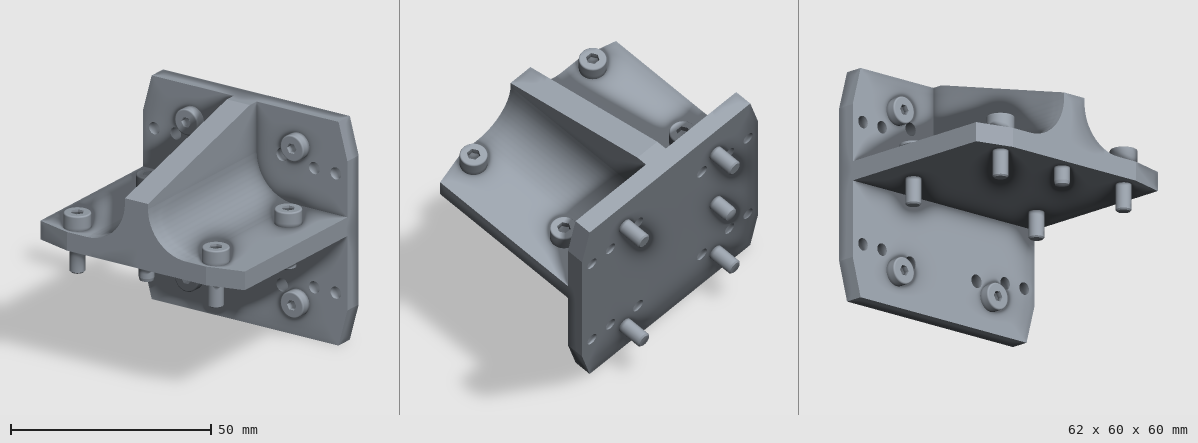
import cadquery as cq
import math

WIDTH = 62.0
PLATE_HEIGHT = 60.0
PLATE_THICKNESS = 5.0
SHELF_DEPTH = 48.0
SHELF_THICKNESS = 5.0
TAPER_ANGLE = math.radians(15.0)
CORNER_LONG_LEG = 10.0
CORNER_SHORT_LEG = CORNER_LONG_LEG * math.tan(TAPER_ANGLE)

RIB_WIDTH = 7.0
RIB_FILLET = 11.5
RIB_FLAT_DEPTH = 3.0
RIB_TOP = PLATE_HEIGHT / 2
RIB_FRONT_HEIGHT = RIB_TOP - (SHELF_DEPTH - RIB_FLAT_DEPTH) * math.tan(TAPER_ANGLE)

BOLT_SHORT_PITCH = 32.0
BOLT_LONG_PITCH = 42.0
SHELF_FIRST_BOLT_ROW = 11.5
SHELF_LAST_BOLT_ROW = SHELF_FIRST_BOLT_ROW + BOLT_SHORT_PITCH
SCREW_DIAMETER = 4.0
SCREW_PROTRUSION = 7.0
THREAD_ROOT_DIAMETER = 3.24
SCREW_TIP_CHAMFER = (SCREW_DIAMETER - THREAD_ROOT_DIAMETER) / 2
HEAD_DIAMETER = 7.0
SHELF_HEAD_HEIGHT = 4.0
PLATE_HEAD_HEIGHT = 2.8
HEAD_EDGE_RADIUS = 0.4
SHELF_SOCKET_ACROSS_FLATS = 3.0
PLATE_SOCKET_ACROSS_FLATS = 2.5
SOCKET_DEPTH = 1.5
SOCKET_CONE_ANGLE = math.radians(120.0)

PIN_DIAMETER = 4.0
PIN_TAPER_LENGTH = 0.85
PIN_DOME_HEIGHT = 0.4
SHELF_PIN_REACH = 4.9
PLATE_PIN_REACH = 6.0

SMALL_HOLE_DIAMETER = THREAD_ROOT_DIAMETER
SMALL_HOLE_X = (21.0, 27.5)
SMALL_HOLE_Z = 16.0
LARGE_HOLE_DIAMETER = 3.5
LARGE_HOLE_X = 11.25
LARGE_HOLE_Z = 17.5


def make_plate():
    """Upright plate with four steeply clipped corners."""
    half_width = WIDTH / 2
    half_height = PLATE_HEIGHT / 2
    top_x = half_width - CORNER_SHORT_LEG
    side_z = half_height - CORNER_LONG_LEG
    outline = [
        (top_x, half_height),
        (half_width, side_z),
        (half_width, -side_z),
        (top_x, -half_height),
        (-top_x, -half_height),
        (-half_width, -side_z),
        (-half_width, side_z),
        (-top_x, half_height),
    ]
    return cq.Workplane("XZ").polyline(outline).close().extrude(-PLATE_THICKNESS)


def make_shelf():
    """Horizontal shelf with two shallowly clipped front corners."""
    half_width = WIDTH / 2
    front_x = half_width - CORNER_LONG_LEG
    side_y = -SHELF_DEPTH + CORNER_SHORT_LEG
    outline = [
        (-half_width, 0),
        (-half_width, side_y),
        (-front_x, -SHELF_DEPTH),
        (front_x, -SHELF_DEPTH),
        (half_width, side_y),
        (half_width, 0),
    ]
    return cq.Workplane("XY").polyline(outline).close().extrude(SHELF_THICKNESS)


def make_rib():
    """Central rib flaring into the shelf, with a top that slopes down to the front."""
    half_rib = RIB_WIDTH / 2
    foot_x = half_rib + RIB_FILLET
    arc_top = SHELF_THICKNESS + RIB_FILLET
    arc_offset = RIB_FILLET * (1 - math.sqrt(0.5))
    arc_mid_x = half_rib + arc_offset
    arc_mid_z = SHELF_THICKNESS + arc_offset
    section = (
        cq.Workplane("XZ")
        .moveTo(-foot_x, 0)
        .lineTo(foot_x, 0)
        .lineTo(foot_x, SHELF_THICKNESS)
        .threePointArc((arc_mid_x, arc_mid_z), (half_rib, arc_top))
        .lineTo(half_rib, RIB_TOP)
        .lineTo(-half_rib, RIB_TOP)
        .lineTo(-half_rib, arc_top)
        .threePointArc((-arc_mid_x, arc_mid_z), (-foot_x, SHELF_THICKNESS))
        .close()
        .extrude(SHELF_DEPTH)
    )
    side_outline = [
        (0, 0),
        (0, RIB_TOP),
        (-RIB_FLAT_DEPTH, RIB_TOP),
        (-SHELF_DEPTH, RIB_FRONT_HEIGHT),
        (-SHELF_DEPTH, 0),
    ]
    side = cq.Workplane("YZ").polyline(side_outline).close().extrude(foot_x, both=True)
    return section.intersect(side)


def drill_plate(body):
    """Drill the mirrored groups of through holes in the upright plate."""
    hole_group = [(x, SMALL_HOLE_Z, SMALL_HOLE_DIAMETER) for x in SMALL_HOLE_X]
    hole_group.append((LARGE_HOLE_X, LARGE_HOLE_Z, LARGE_HOLE_DIAMETER))
    for x, z, diameter in hole_group:
        holes = (
            cq.Workplane("XZ")
            .rect(2 * x, 2 * z, forConstruction=True)
            .vertices()
            .circle(diameter / 2)
            .extrude(-PLATE_THICKNESS)
        )
        body = body.cut(holes)
    return body


def make_socket(head_height, across_flats):
    """Hexagonal recess with a conical floor, opening at the top of a screw head."""
    corner_diameter = across_flats / math.cos(math.pi / 6)
    corner_radius = corner_diameter / 2
    cone_depth = corner_radius / math.tan(SOCKET_CONE_ANGLE / 2)
    wall_bottom = head_height - SOCKET_DEPTH
    hexagon = (
        cq.Workplane("XY", origin=(0, 0, wall_bottom - cone_depth))
        .polygon(6, corner_diameter)
        .extrude(SOCKET_DEPTH + cone_depth)
    )
    drill_outline = [
        (0, wall_bottom - cone_depth),
        (corner_radius, wall_bottom),
        (corner_radius, head_height),
        (0, head_height),
    ]
    drill = cq.Workplane("XZ").polyline(drill_outline).close().revolve(360, (0, 0), (0, 1))
    return hexagon.intersect(drill)


def add_screws(body, seats, head_height, across_flats, wall_thickness):
    """Fit a cap screw at each seat point; seats is a workplane on the head side of a wall."""
    shank_length = wall_thickness + SCREW_PROTRUSION
    shank = (
        cq.Workplane("XY")
        .circle(SCREW_DIAMETER / 2)
        .extrude(-shank_length)
        .faces("<Z")
        .chamfer(SCREW_TIP_CHAMFER)
    )
    head = (
        cq.Workplane("XY")
        .circle(HEAD_DIAMETER / 2)
        .extrude(head_height)
        .faces(">Z")
        .fillet(HEAD_EDGE_RADIUS)
    )
    screw = shank.union(head).val()
    socket = make_socket(head_height, across_flats).val()
    body = body.union(seats.eachpoint(lambda place: screw.moved(place), useLocalCoordinates=True))
    return body.cut(seats.eachpoint(lambda place: socket.moved(place), useLocalCoordinates=True))


def make_pin(base, reach):
    """Dowel pin standing on the base workplane, tapered and domed at its far end."""
    radius = PIN_DIAMETER / 2
    dome_radius = radius - PIN_TAPER_LENGTH * math.tan(TAPER_ANGLE)
    dome_start = reach - PIN_DOME_HEIGHT
    sphere_radius = (dome_radius**2 + PIN_DOME_HEIGHT**2) / (2 * PIN_DOME_HEIGHT)
    half_angle = math.asin(dome_radius / sphere_radius) / 2
    dome_mid = (
        sphere_radius * math.sin(half_angle),
        reach - sphere_radius * (1 - math.cos(half_angle)),
    )
    pin = (
        cq.Workplane("XZ")
        .lineTo(radius, 0)
        .lineTo(radius, dome_start - PIN_TAPER_LENGTH)
        .lineTo(dome_radius, dome_start)
        .threePointArc(dome_mid, (0, reach))
        .close()
        .revolve(360, (0, 0), (0, 1))
        .val()
    )
    return base.eachpoint(lambda place: pin.moved(place), useLocalCoordinates=True)


bracket = make_plate().union(make_shelf()).union(make_rib())
bracket = drill_plate(bracket)

plate_seats = (
    cq.Workplane("XZ")
    .rect(BOLT_SHORT_PITCH, BOLT_LONG_PITCH, forConstruction=True)
    .vertices()
)
bracket = add_screws(
    bracket, plate_seats, PLATE_HEAD_HEIGHT, PLATE_SOCKET_ACROSS_FLATS, PLATE_THICKNESS
)

shelf_bolt_centre_y = -(SHELF_FIRST_BOLT_ROW + SHELF_LAST_BOLT_ROW) / 2
shelf_seats = (
    cq.Workplane("XY", origin=(0, shelf_bolt_centre_y, SHELF_THICKNESS))
    .rect(BOLT_LONG_PITCH, BOLT_SHORT_PITCH, forConstruction=True)
    .vertices()
)
bracket = add_screws(
    bracket, shelf_seats, SHELF_HEAD_HEIGHT, SHELF_SOCKET_ACROSS_FLATS, SHELF_THICKNESS
)

shelf_pin_base = cq.Workplane("XY", origin=(0, -SHELF_LAST_BOLT_ROW, 0))
shelf_pin_base = shelf_pin_base.transformed(rotate=(180, 0, 0))
bracket = bracket.union(make_pin(shelf_pin_base, SHELF_PIN_REACH))

plate_pin_base = cq.Workplane("XZ", origin=(-BOLT_SHORT_PITCH / 2, PLATE_THICKNESS, 0))
plate_pin_base = plate_pin_base.transformed(rotate=(180, 0, 0))
bracket = bracket.union(make_pin(plate_pin_base, PLATE_PIN_REACH))

result = bracket